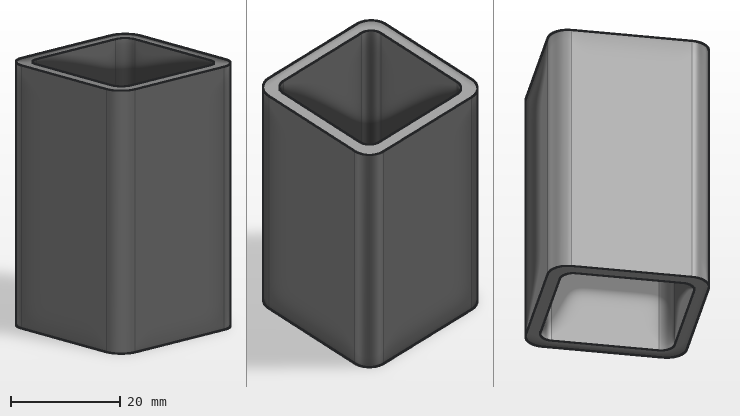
import cadquery as cq

side = 30.0
length = 50.0
wall = 2.5
outer_corner_radius = 1.5 * wall
inner_corner_radius = wall


def rounded_square_bar(width, corner_radius):
    """Solid square bar of the tube's length with rounded long edges."""
    return (
        cq.Workplane("XY")
        .rect(width, width)
        .extrude(length)
        .edges("|Z")
        .fillet(corner_radius)
    )


outer_body = rounded_square_bar(side, outer_corner_radius)
bore = rounded_square_bar(side - 2 * wall, inner_corner_radius)

result = outer_body.cut(bore)